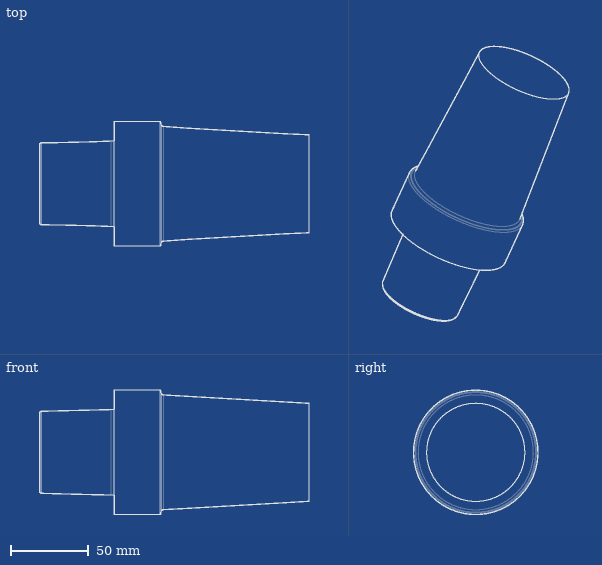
import cadquery as cq

total_length = 173.0
collar_start = 48.0
collar_width = 30.0
collar_radius = 40.0
collar_fillet = 1.0

spigot_end_radius = 26.4
spigot_root_radius = 27.5
spigot_chamfer_length = 1.2
spigot_chamfer_depth = 0.8
spigot_neck_length = 2.0

shank_root_radius = 36.9
shank_end_radius = 31.5
shank_fillet = 1.5

collar_end = collar_start + collar_width
spigot_neck_start = collar_start - spigot_neck_length
shank_start = collar_end + shank_fillet


def half_profile():
    """Half section in the XZ plane, bounded by the X axis."""
    return (
        cq.Workplane("XZ")
        .moveTo(0, 0)
        .lineTo(0, spigot_end_radius - spigot_chamfer_depth)
        .lineTo(spigot_chamfer_length, spigot_end_radius)
        .lineTo(spigot_neck_start, spigot_root_radius)
        .lineTo(collar_start, spigot_root_radius)
        .lineTo(collar_start, collar_radius)
        .lineTo(collar_end - collar_fillet, collar_radius)
        .radiusArc((collar_end, collar_radius - collar_fillet), collar_fillet)
        .lineTo(collar_end, shank_root_radius + shank_fillet)
        .radiusArc((shank_start, shank_root_radius), -shank_fillet)
        .lineTo(total_length, shank_end_radius)
        .lineTo(total_length, 0)
        .close()
    )


result = half_profile().revolve(360, (0, 0, 0), (1, 0, 0))